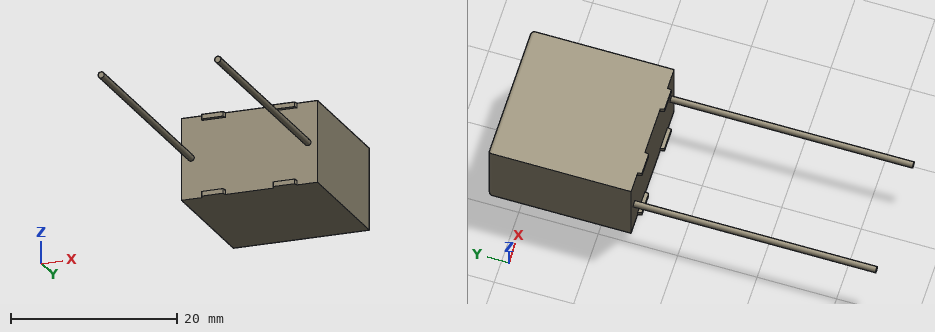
import cadquery as cq


case_width = 17.5
case_thickness = 10.51
overall_depth = 18.5
closed_end_fillet = 0.5

standoff_height = 0.5
standoff_base_width = 3.0
standoff_draft = 0.13
standoff_thickness = 0.6
standoff_offset = 4.6

lead_pitch = 15.0
lead_diameter = 0.8
lead_reach = 30.0

lead_face_y = standoff_height
case_depth = overall_depth - standoff_height


def make_standoff(center_x, low_z):
    """Tapered foot that stands on the lead face and narrows toward the seating plane."""
    half_base = standoff_base_width / 2
    half_tip = half_base - standoff_draft
    return (
        cq.Workplane("XY", origin=(center_x, 0, low_z))
        .moveTo(-half_base, lead_face_y)
        .lineTo(-half_tip, 0)
        .lineTo(half_tip, 0)
        .lineTo(half_base, lead_face_y)
        .close()
        .extrude(standoff_thickness)
    )


def make_case():
    """Block with a rounded closed end and four standoffs flush with its broad faces."""
    case = (
        cq.Workplane("XY", origin=(0, lead_face_y, 0))
        .box(case_width, case_depth, case_thickness, centered=(True, False, True))
        .faces(">Y")
        .edges()
        .fillet(closed_end_fillet)
    )
    half_thickness = case_thickness / 2
    for center_x in (-standoff_offset, standoff_offset):
        for low_z in (-half_thickness, half_thickness - standoff_thickness):
            case = case.union(make_standoff(center_x, low_z))
    return case


def make_lead(center_x):
    """Round wire that butts against the lead face and runs toward -Y."""
    lead_length = lead_face_y + lead_reach
    return (
        cq.Workplane("XZ", origin=(center_x, lead_face_y, 0))
        .circle(lead_diameter / 2)
        .extrude(lead_length)
    )


case = make_case()
leads = [make_lead(side * lead_pitch / 2) for side in (-1, 1)]

result = cq.Compound.makeCompound([case.val(), *[lead.val() for lead in leads]])